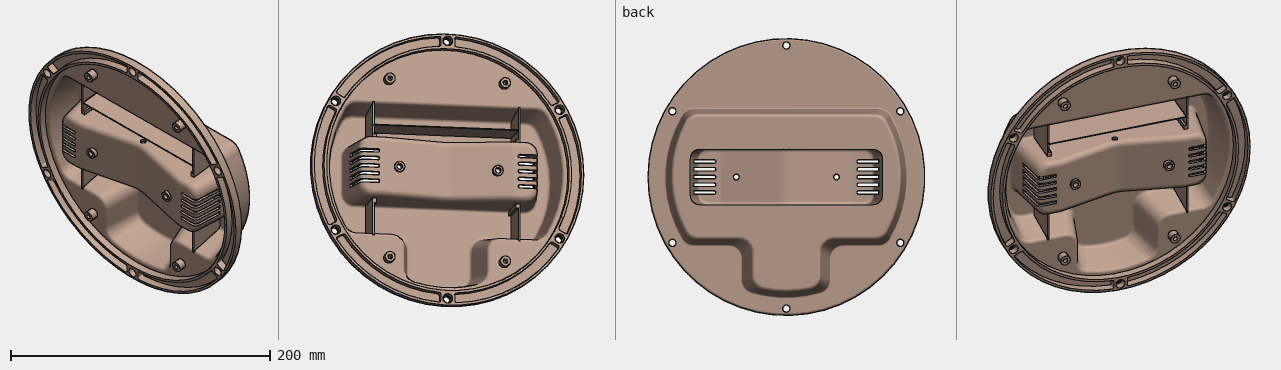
import cadquery as cq
import math

FLANGE_RADIUS = 106.8
FLANGE_THICKNESS = 7.7
FLANGE_BACK_FILLET = 1.7
WALL = 1.5
RECESS_RADIUS = 95.3
RECESS_DEPTH = FLANGE_THICKNESS - WALL

RIM_HOLE_COUNT = 6
RIM_HOLE_CIRCLE = 101.5
RIM_HOLE_DIAMETER = 5.3
RIM_BORE_DIAMETER = 7.3
RIM_BORE_DEPTH = RECESS_DEPTH
POCKET_INNER_RADIUS = 97.2
POCKET_OUTER_RADIUS = 105.0
POCKET_GAP = 11.1
POCKET_CORNER = 1.5

TRAY_BACK = 37.8
TRAY_RADIUS = 93.0
TRAY_HALF_HEIGHT = 52.5
NECK_HALF_WIDTH = 34.0
TRAY_SLOPE = 0.15
NECK_SLOPE = 0.26
TRAY_CORNER = 10.7
TRAY_EDGE_FILLET = 2.5
TRAY_ROOT_FILLET = TRAY_EDGE_FILLET - WALL
TRAY_FLOOR = TRAY_BACK - WALL

HOOD_FRONT = -5.0
HOOD_BASE_HALF_LENGTH = 76.0
HOOD_HALF_HEIGHT = 23.5
HOOD_END_SLOPE = 0.16
HOOD_CORNER = 9.5
HOOD_FRONT_FILLET = 4.5
HOOD_WALL = 2.1
HOOD_FOOT_FILLET = 2.0
HOOD_FLAT_START = 50.5
HOOD_MIDDLE = 6.8
VALLEY_RADIUS = 25.6
SHOULDER_RADIUS = 8.5
VENT_HOLE_DIAMETER = 4.3
VENT_HOLE_DEPTH = 12.5

SLOT_COUNT = 5
SLOT_PITCH = 6.0
SLOT_WIDTH = 2.5
SLOT_INNER_END = 54.5
SLOT_BACK = 19.2

RIB_INNER_X = 56.6
RIB_THICKNESS = 1.3
SHELF_HEIGHT = 34.2
SHELF_THICKNESS = 0.6
BEAD_WIDTH = 2.0
BEAD_TOP = 27.0

BOSS_DIAMETER = 8.0
FLANGE_BOSS_X = 45.3
FLANGE_BOSS_Z = 70.3
FLANGE_BOSS_BORE = 3.5
HOOD_BOSS_X = 38.7
HOOD_BOSS_BORE = 4.3

OVERLAP = 2.1


def cylinder(radius, y_start, y_end, x=0.0, z=0.0):
    """Cylinder along Y between two depths."""
    base = cq.Workplane("XZ", origin=(x, y_start, z))
    return base.circle(radius).extrude(y_start - y_end)


def box(x_start, x_end, y_start, y_end, z_start, z_end):
    """Axis-aligned box between two corners."""
    size = (x_end - x_start, y_end - y_start, z_end - z_start)
    return cq.Workplane("XY").box(*size, centered=False).translate((x_start, y_start, z_start))


def prism(plane, points, reach):
    """Polygon on a main plane, extruded the same reach to both sides."""
    return cq.Workplane(plane).polyline(points).close().extrude(reach, both=True)


def deep_edges(solid, minimum):
    """Edges that span more than the given minimum along Y."""
    return [e for e in solid.edges().vals() if abs(e.startPoint().y - e.endPoint().y) > minimum]


def opening_edges(solid, depth):
    """Edges of the opening in the flat face that lies at the given depth."""
    slab = cq.selectors.BoxSelector(
        (-FLANGE_RADIUS, depth - WALL / 2, -FLANGE_RADIUS),
        (FLANGE_RADIUS, depth + WALL / 2, FLANGE_RADIUS),
    )
    face = solid.faces("|Y").faces(slab)
    return face.val().innerWires()[0].Edges()


def tray_solid(y_start, y_end, inset):
    """Cone cut to a wide band and a lower neck, all drafted, shrunk by inset."""
    def at(size, slope, y):
        return size - inset - slope * (y - FLANGE_THICKNESS)

    depth = y_end - y_start
    cone = cq.Workplane(
        cq.Solid.makeCone(
            at(TRAY_RADIUS, TRAY_SLOPE, y_start),
            at(TRAY_RADIUS, TRAY_SLOPE, y_end),
            depth,
            cq.Vector(0, y_start, 0),
            cq.Vector(0, 1, 0),
        )
    )
    band_start = at(TRAY_HALF_HEIGHT, TRAY_SLOPE, y_start)
    band_end = at(TRAY_HALF_HEIGHT, TRAY_SLOPE, y_end)
    band_points = [(y_start, -band_start), (y_end, -band_end), (y_end, band_end), (y_start, band_start)]
    band = prism("YZ", band_points, FLANGE_RADIUS)

    neck_start = at(NECK_HALF_WIDTH, NECK_SLOPE, y_start)
    neck_end = at(NECK_HALF_WIDTH, NECK_SLOPE, y_end)
    neck_points = [(-neck_start, y_start), (-neck_end, y_end), (neck_end, y_end), (neck_start, y_start)]
    neck = prism("XY", neck_points, FLANGE_RADIUS)
    neck = neck.intersect(box(-FLANGE_RADIUS, FLANGE_RADIUS, y_start, y_end, -FLANGE_RADIUS, 0))

    solid = cone.intersect(band.union(neck))
    corners = [
        edge
        for edge in deep_edges(solid, depth / 2)
        if min(abs(edge.Center().x), abs(edge.Center().z)) > OVERLAP
    ]
    solid = solid.newObject(corners).fillet(TRAY_CORNER)
    return solid.faces(">Y").edges().fillet(TRAY_EDGE_FILLET)


def hood_solid(inset, base_depth):
    """Bow-tie profile with drafted ends, shrunk by inset on every wall."""
    front = HOOD_FRONT + inset
    base_x = HOOD_BASE_HALF_LENGTH - inset + HOOD_END_SLOPE * (base_depth - TRAY_FLOOR)
    front_x = HOOD_BASE_HALF_LENGTH - inset - HOOD_END_SLOPE * (TRAY_FLOOR - front)
    profile = [
        (-base_x, base_depth),
        (-front_x, front),
        (-HOOD_FLAT_START, front),
        (0, HOOD_MIDDLE + inset),
        (HOOD_FLAT_START, front),
        (front_x, front),
        (base_x, base_depth),
    ]
    solid = prism("XY", profile, HOOD_HALF_HEIGHT - inset)
    bends = [
        (0, HOOD_MIDDLE + inset, VALLEY_RADIUS),
        (-HOOD_FLAT_START, front, SHOULDER_RADIUS),
        (HOOD_FLAT_START, front, SHOULDER_RADIUS),
    ]
    for x, y, radius in bends:
        bend = cq.selectors.NearestToPointSelector((x, y, 0))
        solid = solid.edges(bend).fillet(radius)
    solid = solid.newObject(deep_edges(solid, TRAY_FLOOR / 2)).fillet(HOOD_CORNER - inset)

    def on_front_rim(edge):
        in_front = max(edge.startPoint().y, edge.endPoint().y) < HOOD_MIDDLE + inset
        middle = edge.Center()
        return in_front and (abs(middle.z) > OVERLAP or abs(middle.x) > HOOD_FLAT_START + OVERLAP)

    rim = [edge for edge in solid.edges().vals() if on_front_rim(edge)]
    return solid.newObject(rim).fillet(HOOD_FRONT_FILLET - inset)


def rim_pocket_cutter():
    """Ring of six curved pockets, interrupted by a straight web at each rim hole."""
    ring = cylinder(POCKET_OUTER_RADIUS, -OVERLAP, RECESS_DEPTH)
    ring = ring.cut(cylinder(POCKET_INNER_RADIUS, -OVERLAP, RECESS_DEPTH))
    half_gap = POCKET_GAP / 2
    web = box(-half_gap, half_gap, -OVERLAP, RECESS_DEPTH, 0, FLANGE_RADIUS)
    for index in range(RIM_HOLE_COUNT):
        ring = ring.cut(web.rotate((0, 0, 0), (0, 1, 0), index * 360 / RIM_HOLE_COUNT))
    return ring.edges("|Y").fillet(POCKET_CORNER)


def rim_hole_cutter():
    """Counterbored screw holes around the rim."""
    cutter = cq.Workplane("XY")
    for index in range(RIM_HOLE_COUNT):
        angle = math.radians(90 + index * 360 / RIM_HOLE_COUNT)
        x = RIM_HOLE_CIRCLE * math.cos(angle)
        z = RIM_HOLE_CIRCLE * math.sin(angle)
        cutter = cutter.union(cylinder(RIM_BORE_DIAMETER / 2, -OVERLAP, RIM_BORE_DEPTH, x, z))
        cutter = cutter.union(cylinder(RIM_HOLE_DIAMETER / 2, -OVERLAP, FLANGE_THICKNESS + OVERLAP, x, z))
    return cutter


def partitions():
    """Two upright ribs, the shelf between them and the beads at the rib feet."""
    front, back = RECESS_DEPTH, TRAY_BACK
    walls = box(
        -RIB_INNER_X, RIB_INNER_X, front, back, SHELF_HEIGHT, SHELF_HEIGHT + SHELF_THICKNESS
    )
    for side in (-1, 1):
        rib_edges = sorted((side * RIB_INNER_X, side * (RIB_INNER_X + RIB_THICKNESS)))
        bead_edges = sorted((side * RIB_INNER_X, side * (RIB_INNER_X - BEAD_WIDTH)))
        walls = walls.union(box(*rib_edges, front, back, -TRAY_HALF_HEIGHT, TRAY_HALF_HEIGHT))
        walls = walls.union(box(*bead_edges, front, back, -BEAD_TOP, BEAD_TOP))
    return walls


def slot_cutter():
    """Round-ended cooling slots wrapping over both ends of the hood."""
    radius = SLOT_WIDTH / 2
    front = HOOD_FRONT - OVERLAP
    outer_end = HOOD_BASE_HALF_LENGTH + OVERLAP
    round_centre = SLOT_INNER_END + radius
    cutter = cq.Workplane("XY")
    for index in range(SLOT_COUNT):
        z = (index - (SLOT_COUNT - 1) / 2) * SLOT_PITCH
        for side in (-1, 1):
            x_range = sorted((side * round_centre, side * outer_end))
            cutter = cutter.union(box(*x_range, front, SLOT_BACK, z - radius, z + radius))
            cutter = cutter.union(cylinder(radius, front, SLOT_BACK, side * round_centre, z))
    return cutter


flange = cylinder(FLANGE_RADIUS, 0, FLANGE_THICKNESS).faces(">Y").edges().fillet(FLANGE_BACK_FILLET)
envelope = flange.union(tray_solid(FLANGE_THICKNESS, TRAY_BACK, 0))
envelope = envelope.newObject(opening_edges(envelope, FLANGE_THICKNESS)).fillet(TRAY_ROOT_FILLET)

body = envelope.cut(tray_solid(RECESS_DEPTH, TRAY_FLOOR, WALL))
body = body.cut(cylinder(RECESS_RADIUS, -OVERLAP, RECESS_DEPTH))
body = body.newObject(opening_edges(body, RECESS_DEPTH)).fillet(TRAY_EDGE_FILLET)
body = body.cut(rim_pocket_cutter()).cut(rim_hole_cutter())

body = body.union(hood_solid(0, TRAY_FLOOR))
body = body.newObject(opening_edges(body, TRAY_FLOOR)).fillet(HOOD_FOOT_FILLET)
body = body.union(partitions().intersect(envelope))

for x in (-HOOD_BOSS_X, HOOD_BOSS_X):
    body = body.union(cylinder(BOSS_DIAMETER / 2, HOOD_FRONT, HOOD_MIDDLE, x))
body = body.cut(hood_solid(HOOD_WALL, TRAY_BACK + OVERLAP))
for x in (-HOOD_BOSS_X, HOOD_BOSS_X):
    body = body.cut(cylinder(HOOD_BOSS_BORE / 2, HOOD_FRONT - OVERLAP, TRAY_BACK, x))
body = body.cut(slot_cutter())

vent = cq.Workplane("XY", origin=(0, VENT_HOLE_DEPTH, 0)).circle(VENT_HOLE_DIAMETER / 2)
body = body.cut(vent.extrude(HOOD_HALF_HEIGHT + OVERLAP))

for x in (-FLANGE_BOSS_X, FLANGE_BOSS_X):
    for z in (-FLANGE_BOSS_Z, FLANGE_BOSS_Z):
        body = body.union(cylinder(BOSS_DIAMETER / 2, 0, FLANGE_THICKNESS - WALL / 2, x, z))
        body = body.cut(cylinder(FLANGE_BOSS_BORE / 2, -OVERLAP, RECESS_DEPTH, x, z))

result = body